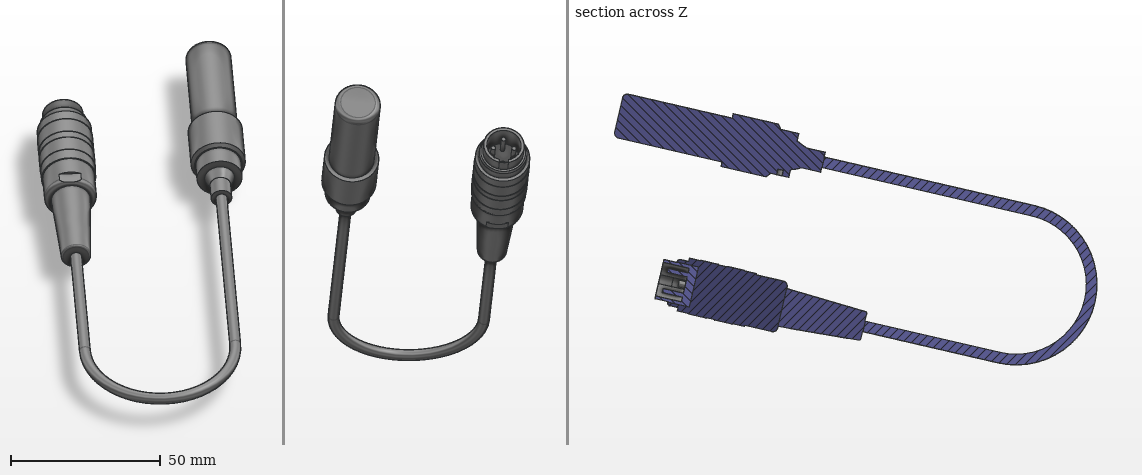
import cadquery as cq

tilt = -13.0
bend_centre = (53.6, -18.2)
bend_radius = 25.1
cable_diameter = 3.7
probe_run = 72.0
plug_run = 46.5

tail_length = 6.5
tail_diameter = 7.0
flare_length = 3.5
flare_diameter = 10.0
neck_length = 6.5
neck_diameter = 15.2
collar_chamfer = 1.0
collar_chamfer_diameter = 16.0
collar_length = 16.5
collar_diameter = 18.2
tube_length = 37.2
tube_diameter = 15.2
tip_fillet = 1.8
screw_hole_diameter = 1.8
screw_hole_depth = 2.0
screw_hole_from_neck_end = 3.2

boot_length = 27.9
boot_small_diameter = 9.8
boot_large_diameter = 13.0
boot_fillet = 0.6

shell_rear_length = 11.0
shell_rear_diameter = 17.4
shell_rear_fillet = 1.8
flat_length = 4.4
flat_height = 7.9
band_lengths = [4.2, 6.0, 2.9, 6.1, 3.9]
band_diameters = [18.2, 18.5]
shell_lip_length = 3.7
shell_lip_chamfer = 0.6
shell_lip_front_diameter = 15.0
shell_lip_diameter = 16.0

nose_diameter = 13.5
nose_bore = 11.5
nose_length = 4.5
nose_bore_depth = 8.9
insert_seat_depth = 7.3
key_width = 3.0
key_diameter = 13.0
pin_diameter = 1.48
pin_circle_diameter = 7.0
pin_angles = [-90, 0, 90]
pin_setback = 2.0
stub_diameter = 2.3
stub_length = 2.3


def turned(profile):
    """Revolve (axial position, diameter) points about the X axis."""
    points = [(x, diameter / 2) for x, diameter in profile]
    points = [(points[0][0], 0)] + points + [(points[-1][0], 0)]
    return cq.Workplane("XY").polyline(points).close().revolve(360, (0, 0, 0), (1, 0, 0))


def rod(x_start, x_end, diameter):
    """Plain cylinder along the X axis."""
    return turned([(x_start, diameter), (x_end, diameter)])


def place(body, run, side):
    """Move a body from its own frame, with the cable end at the origin, to its end of the cable."""
    body = body.translate((-run, side * bend_radius, 0))
    body = body.rotate((0, 0, 0), (0, 0, 1), tilt)
    return body.translate((*bend_centre, 0))


flare_small_x = -tail_length
neck_end_x = flare_small_x - flare_length
collar_rear_x = neck_end_x - neck_length
collar_front_x = collar_rear_x - collar_length
tip_x = collar_front_x - tube_length

shell_rear_x = -boot_length
bands_rear_x = shell_rear_x - shell_rear_length
bands_front_x = bands_rear_x - sum(band_lengths)
lip_front_x = bands_front_x - shell_lip_length
rim_x = lip_front_x - nose_length
floor_x = rim_x + nose_bore_depth
seat_x = lip_front_x + insert_seat_depth


def make_cable():
    straight_start = (-probe_run, bend_radius)
    route = (
        cq.Workplane("XY")
        .moveTo(*straight_start)
        .lineTo(0, bend_radius)
        .threePointArc((bend_radius, 0), (0, -bend_radius))
        .lineTo(-plug_run, -bend_radius)
    )
    section = cq.Workplane("YZ", origin=(*straight_start, 0)).circle(cable_diameter / 2)
    cable = section.sweep(route)
    return cable.rotate((0, 0, 0), (0, 0, 1), tilt).translate((*bend_centre, 0))


def make_probe():
    probe = turned([
        (tip_x, tube_diameter),
        (collar_front_x, tube_diameter),
        (collar_front_x, collar_diameter),
        (collar_rear_x - collar_chamfer, collar_diameter),
        (collar_rear_x, collar_chamfer_diameter),
        (collar_rear_x, neck_diameter),
        (neck_end_x, neck_diameter),
        (neck_end_x, flare_diameter),
        (flare_small_x, tail_diameter),
        (0, tail_diameter),
    ])
    probe = probe.faces("<X").edges().fillet(tip_fillet)
    screw_hole = (
        cq.Workplane("XZ", origin=(neck_end_x - screw_hole_from_neck_end, -neck_diameter / 2, 0))
        .circle(screw_hole_diameter / 2)
        .extrude(-screw_hole_depth)
    )
    return probe.cut(screw_hole)


def make_boot():
    boot = turned([(shell_rear_x, boot_large_diameter), (0, boot_small_diameter)])
    return boot.faces(">X").edges().fillet(boot_fillet)


def make_shell():
    profile = [
        (lip_front_x, shell_lip_front_diameter),
        (lip_front_x + shell_lip_chamfer, shell_lip_diameter),
        (bands_front_x, shell_lip_diameter),
    ]
    rear_x = bands_rear_x
    bands = []
    for index, length in enumerate(band_lengths):
        diameter = band_diameters[index % len(band_diameters)]
        bands += [(rear_x, diameter), (rear_x - length, diameter)]
        rear_x -= length
    profile += bands[::-1]
    profile += [(bands_rear_x, shell_rear_diameter), (shell_rear_x, shell_rear_diameter)]
    shell = turned(profile).faces(">X").edges().fillet(shell_rear_fillet)

    flat_depth = shell_rear_diameter / 2 - flat_height
    for side in (1, -1):
        flat_cut = cq.Workplane("XY").box(flat_length, shell_rear_diameter, flat_depth).translate(
            (shell_rear_x - flat_length / 2, 0, side * (flat_height + flat_depth / 2))
        )
        shell = shell.cut(flat_cut)
    return shell.cut(rod(lip_front_x, seat_x, nose_diameter))


def make_insert():
    """Nose tube with its key slot and contact pins, seated in the front of the shell."""
    insert = rod(rim_x, seat_x, nose_diameter).cut(rod(rim_x, floor_x, nose_bore))

    key_strip = cq.Workplane("XY").box(nose_bore_depth, key_width, key_diameter / 2).translate(
        (rim_x + nose_bore_depth / 2, 0, -key_diameter / 4)
    )
    insert = insert.cut(key_strip.intersect(rod(rim_x, floor_x, key_diameter)))

    pin = rod(rim_x + pin_setback, seat_x, pin_diameter).translate((0, 0, pin_circle_diameter / 2))
    for angle in pin_angles:
        insert = insert.union(pin.rotate((0, 0, 0), (1, 0, 0), angle))

    stub = rod(floor_x - stub_length, seat_x, stub_diameter)
    return insert.union(stub.translate((0, 0, -pin_circle_diameter / 2)))


cable = make_cable()
probe = place(make_probe(), probe_run, 1)
shell = place(make_shell(), plug_run, -1)
insert = place(make_insert(), plug_run, -1)
boot = place(make_boot(), plug_run, -1)

result = cq.Compound.makeCompound(
    [cable.val(), probe.val(), shell.val(), insert.val(), boot.val()]
)